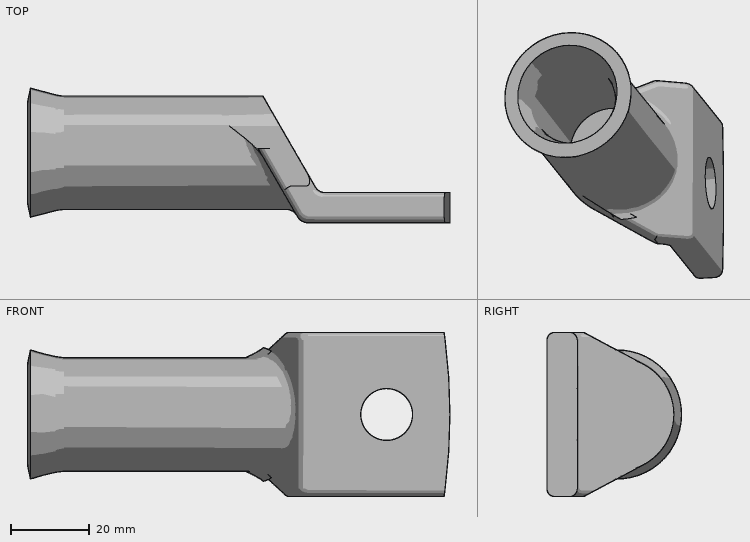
import cadquery as cq
import math

barrel_diameter = 29.0
barrel_radius = barrel_diameter / 2
bore_radius = 10.7
bore_depth = 53.9
flare_radius = 16.5
mouth_radius = 12.9
rim_setback = 0.8
flare_length = 8.3
flare_blend_radius = 8.6

total_length = 107.8
palm_width = 42.0
palm_thickness = 7.8
palm_underside = -17.9
palm_upper = palm_underside + palm_thickness
end_bulge = 1.5
web_angle = math.radians(60)
web_top_x = 60.1
inner_bend_radius = 2.8
outer_bend_radius = 3.1
edge_radius = 2.0
barrel_fillet = 2.8
square_edge_y = 1.1
hole_x = 91.7
hole_diameter = 13.2

shoulder_y = -8.5
half_width = palm_width / 2
corner_distance = math.hypot(shoulder_y, half_width)
tangent_angle = math.atan2(half_width, shoulder_y) - math.acos(barrel_radius / corner_distance)
tangent_y = barrel_radius * math.cos(tangent_angle)
tangent_z = barrel_radius * math.sin(tangent_angle)


def upper_slope_x(y):
    """X of the sloped cut at height y."""
    return web_top_x + (barrel_radius - y) / math.tan(web_angle)


def under_slope_x(y):
    """X of the web's barrel-side face at height y."""
    return upper_slope_x(y) - palm_thickness / math.sin(web_angle)


def make_wedge_prism():
    """Full-length prism whose straight flanks continue past the barrel tangency."""
    narrowing = (half_width - tangent_z) / (tangent_y - shoulder_y)
    back_half_width = half_width - narrowing * (barrel_radius - shoulder_y)
    return (
        cq.Workplane("YZ")
        .polyline([
            (palm_underside, -half_width),
            (shoulder_y, -half_width),
            (barrel_radius, -back_half_width),
            (barrel_radius, back_half_width),
            (shoulder_y, half_width),
            (palm_underside, half_width),
        ])
        .close()
        .extrude(total_length)
    )


def make_flank_prism():
    """Full-length prism whose flanks run from the palm sides to the barrel."""
    return (
        cq.Workplane("YZ")
        .moveTo(palm_underside, -half_width)
        .lineTo(shoulder_y, -half_width)
        .lineTo(tangent_y, -tangent_z)
        .threePointArc((barrel_radius, 0), (tangent_y, tangent_z))
        .lineTo(shoulder_y, half_width)
        .lineTo(palm_underside, half_width)
        .close()
        .extrude(total_length)
    )


def make_palm():
    bent_plate = (
        cq.Workplane("XY")
        .polyline([
            (under_slope_x(palm_underside), palm_underside),
            (total_length, palm_underside),
            (total_length, palm_upper),
            (upper_slope_x(palm_upper), palm_upper),
            (upper_slope_x(barrel_radius), barrel_radius),
            (under_slope_x(barrel_radius), barrel_radius),
        ])
        .close()
        .extrude(half_width, both=True)
    )
    bent_plate = bent_plate.edges(
        cq.selectors.NearestToPointSelector((upper_slope_x(palm_upper), palm_upper, 0))
    ).fillet(inner_bend_radius)

    end_x = total_length - end_bulge
    plan = (
        cq.Workplane("XZ", origin=(0, barrel_radius, 0))
        .moveTo(0, -half_width)
        .lineTo(end_x, -half_width)
        .threePointArc((total_length, 0), (end_x, half_width))
        .lineTo(0, half_width)
        .close()
        .extrude(barrel_radius - palm_underside)
    )
    return bent_plate.intersect(make_wedge_prism()).intersect(plan)


def round_palm_edges(palm):
    bend_x = under_slope_x(palm_underside)
    tongue_x = (bend_x + total_length) / 2
    flank_y = (shoulder_y + tangent_y) / 2
    flank_z = (half_width + tangent_z) / 2
    palm = palm.edges(
        cq.selectors.NearestToPointSelector((bend_x, palm_underside, 0))
    ).fillet(outer_bend_radius)
    for side in (-1, 1):
        under_edges = cq.selectors.NearestToPointSelector(
            (tongue_x, palm_underside, side * half_width)
        ) + cq.selectors.NearestToPointSelector(
            (under_slope_x(flank_y), flank_y, side * flank_z)
        )
        upper_edge = cq.selectors.NearestToPointSelector((tongue_x, palm_upper, side * half_width))
        palm = palm.edges(upper_edge).fillet(edge_radius)
        palm = palm.edges(under_edges).fillet(edge_radius)
    return palm


def revolve_profile(points):
    """Solid of revolution about X with the flare blended into the cylinder."""
    solid = cq.Workplane("XY").polyline(points).close().revolve(360, (0, 0, 0), (1, 0, 0))
    reach = 2 * flare_radius
    neck = cq.selectors.BoxSelector(
        (flare_length / 2, -reach, -reach),
        (flare_length * 2, reach, reach),
    )
    return solid.edges(neck).fillet(flare_blend_radius)


def make_barrel():
    return revolve_profile([
        (0, 0),
        (0, mouth_radius),
        (rim_setback, flare_radius),
        (flare_length, barrel_radius),
        (total_length, barrel_radius),
        (total_length, 0),
    ])


def make_bore():
    return revolve_profile([
        (0, 0),
        (0, mouth_radius),
        (flare_length, bore_radius),
        (bore_depth, bore_radius),
        (bore_depth, 0),
    ])


def make_barrel_side():
    """Everything on the barrel side of the web, limited to its sloped face."""
    reach = 2 * barrel_radius
    return (
        cq.Workplane("XY")
        .polyline([
            (0, -reach),
            (under_slope_x(-reach), -reach),
            (under_slope_x(reach), reach),
            (0, reach),
        ])
        .close()
        .extrude(reach, both=True)
    )


def make_collar(barrel):
    """Barrel filleted onto an oversized sloped wall."""
    reach = 2 * barrel_radius
    wall = (
        cq.Workplane("XY")
        .polyline([
            (under_slope_x(-reach), -reach),
            (upper_slope_x(-reach), -reach),
            (upper_slope_x(reach), reach),
            (under_slope_x(reach), reach),
        ])
        .close()
        .extrude(reach, both=True)
    )
    joint = wall.union(barrel)
    return joint.edges("%ELLIPSE").fillet(barrel_fillet)


def make_square_edge_zone():
    """Block covering the upper part of the web."""
    zone_height = barrel_radius - square_edge_y
    return cq.Workplane("XY", origin=(0, square_edge_y, 0)).box(
        total_length, zone_height, palm_width, centered=(False, False, True)
    )


def make_hole():
    return (
        cq.Workplane("XZ", origin=(hole_x, 0, 0))
        .circle(hole_diameter / 2)
        .extrude(-palm_underside)
    )


square_palm = make_palm()
flank_prism = make_flank_prism()
barrel_side = make_barrel_side()

rounded_palm = round_palm_edges(square_palm).intersect(flank_prism)
upper_web = square_palm.intersect(flank_prism).intersect(make_square_edge_zone())
barrel = make_barrel().intersect(barrel_side)
collar = make_collar(barrel).intersect(flank_prism).intersect(barrel_side)

result = (
    rounded_palm
    .union(upper_web)
    .union(collar)
    .union(barrel)
    .cut(make_bore())
    .cut(make_hole())
    .clean()
)